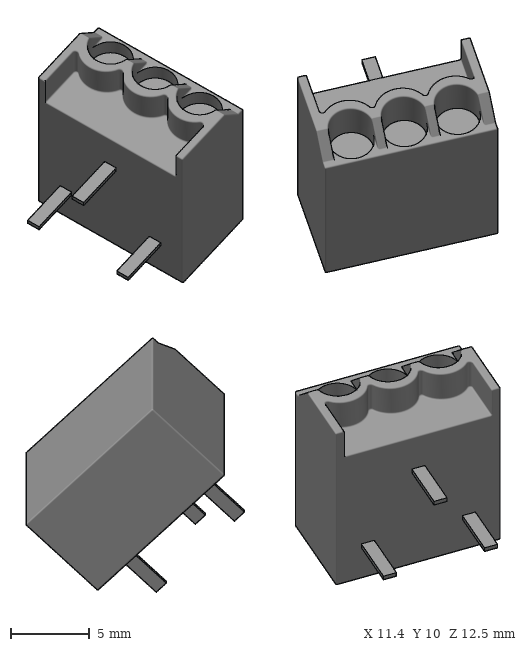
import cadquery as cq

WIDTH = 11.4
DEPTH = 6.5
HEIGHT = 12.5
EDGE_RADIUS = 0.1

PITCH = 3.5
POLE_XS = [-PITCH, 0.0, PITCH]

STEP_DROP = 1.4
STEP_DEPTH = 0.5
SLOPE_RUN = 1.5
STEP_Z = HEIGHT - STEP_DROP
SLOPE_FOOT_Y = DEPTH - STEP_DEPTH
SLOPE_TOP_Y = SLOPE_FOOT_Y - SLOPE_RUN

WELL_RADIUS = 1.45
WELL_Y = 4.8
WELL_DEPTH = 2.5

POCKET_DEPTH = 2.1
SIDE_WALL = 0.6
SCALLOP_RADIUS = 1.8
SCALLOP_Y = 4.4
CUSP_RADIUS = 0.2
POCKET_FLOOR_Z = HEIGHT - POCKET_DEPTH

PIN_WIDTH = 0.9
PIN_THICKNESS = 0.3
PIN_LENGTH = 3.5
OUTER_PIN_Z = 2.7
PIN_ROW_SPACING = 5.0
MIDDLE_PIN_Z = OUTER_PIN_Z + PIN_ROW_SPACING


def box(x_range, y_range, z_range):
    """Box spanning the given ranges."""
    (x0, x1), (y0, y1), (z0, z1) = x_range, y_range, z_range
    return cq.Workplane("XY").box(x1 - x0, y1 - y0, z1 - z0, centered=False).translate((x0, y0, z0))


def cylinder(x, y, radius, z0, z1):
    """Upright cylinder between two heights."""
    return cq.Workplane("XY").workplane(offset=z0).center(x, y).circle(radius).extrude(z1 - z0)


def housing_block():
    """Plain block with the back step and slope."""
    profile = [
        (0, 0),
        (DEPTH, 0),
        (DEPTH, STEP_Z),
        (SLOPE_FOOT_Y, STEP_Z),
        (SLOPE_TOP_Y, HEIGHT),
        (0, HEIGHT),
    ]
    return cq.Workplane("YZ").polyline(profile).close().extrude(WIDTH / 2, both=True)


def front_pocket():
    """Pocket volume: a box less the scallops, with rounded upright corners."""
    half = WIDTH / 2 - SIDE_WALL
    pocket = box((-half, half), (-SCALLOP_Y, SCALLOP_Y), (POCKET_FLOOR_Z, HEIGHT))
    for x in POLE_XS:
        pocket = pocket.cut(cylinder(x, SCALLOP_Y, SCALLOP_RADIUS, POCKET_FLOOR_Z, HEIGHT))
    return pocket.edges("|Z and (not <Y)").fillet(CUSP_RADIUS)


def well_notch(x):
    """Part of a well above the step, running out through the back."""
    round_end = cylinder(x, WELL_Y, WELL_RADIUS, STEP_Z, HEIGHT)
    run_out = box((x - WELL_RADIUS, x + WELL_RADIUS), (WELL_Y, DEPTH), (STEP_Z, HEIGHT))
    return round_end.union(run_out)


def sharp_corner(x):
    """Strip that squares the inner corner along the +X wall of a notch."""
    wall_x = x + WELL_RADIUS
    return box(
        (wall_x - EDGE_RADIUS, wall_x),
        (WELL_Y, SLOPE_FOOT_Y),
        (STEP_Z, STEP_Z + EDGE_RADIUS),
    )


def pin(x, z):
    """Flat contact pin standing out of the front face, rooted just inside it."""
    half_width = PIN_WIDTH / 2
    half_thickness = PIN_THICKNESS / 2
    return box(
        (x - half_width, x + half_width),
        (-PIN_LENGTH, EDGE_RADIUS),
        (z - half_thickness, z + half_thickness),
    )


housing = housing_block().cut(front_pocket())
for pole_x in POLE_XS:
    housing = housing.cut(well_notch(pole_x))

pocket_edge_middle = (SIDE_WALL - WIDTH / 2, 0, HEIGHT - POCKET_DEPTH / 2)
sharp_edge = housing.edges(cq.selectors.NearestToPointSelector(pocket_edge_middle))
rounded_edges = [edge for edge in housing.edges().vals() if not edge.isSame(sharp_edge.val())]
housing = housing.newObject(rounded_edges).fillet(EDGE_RADIUS)

for pole_x in POLE_XS:
    housing = housing.cut(sharp_corner(pole_x))
    housing = housing.cut(cylinder(pole_x, WELL_Y, WELL_RADIUS, HEIGHT - WELL_DEPTH, HEIGHT))

result = housing
for pole_x in POLE_XS:
    pin_z = MIDDLE_PIN_Z if pole_x == 0 else OUTER_PIN_Z
    result = result.union(pin(pole_x, pin_z))